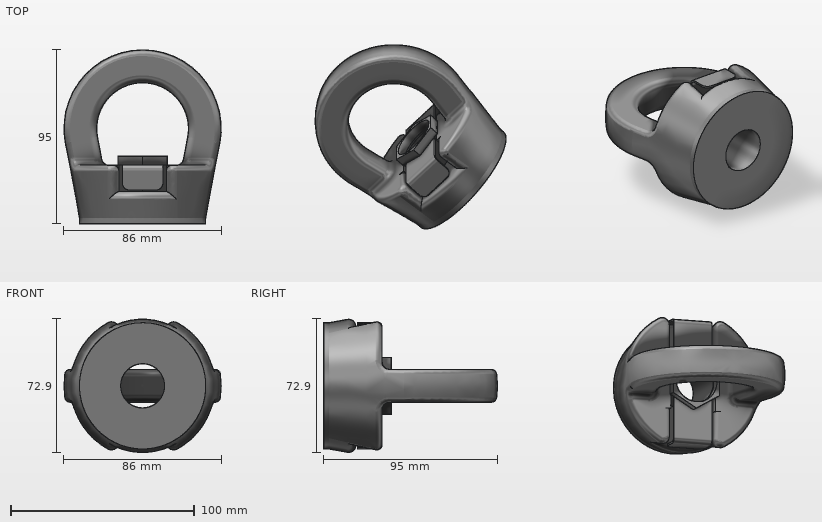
import cadquery as cq
import math


BASE_RADIUS = 69 / 2
RIM_HEIGHT = 3
BASE_HEIGHT = 32
BORE_RADIUS = 24 / 2
RING_CENTRE_Y = 52
RING_OUTER_RADIUS = 43
RING_INNER_RADIUS = 25
RING_THICKNESS = 18
OUTER_EDGE_RADIUS = 3
INNER_EDGE_RADIUS = 4
ROOT_RADIUS = 4

HEX_ACROSS_FLATS = 27
HEX_HEIGHT = 5
HEX_CORNER_RADIUS = HEX_ACROSS_FLATS / math.sqrt(3)

POCKET_WIDTH = 26
POCKET_FLOOR_Y = 17.6
POCKET_RIM_RADIUS = 4

CLIP_THICKNESS = 1
CLIP_WIDTH = 22.2
CLIP_SPAN = 69
CLIP_TIP_Y = 18.4
CLIP_BEND_RADIUS = 3
CLIP_CORNER_RADIUS = 4
CLIP_EYE_RADIUS = 13

STOCK = 200
TOLERANCE = 0.05
SEAM_ANGLE = 45

rise_to_centre = RING_CENTRE_Y - RIM_HEIGHT
TAPER = (
    math.atan2(rise_to_centre, BASE_RADIUS)
    + math.asin(RING_OUTER_RADIUS / math.hypot(BASE_RADIUS, rise_to_centre))
    - math.pi / 2
)


def tangent_point(radius):
    """Point (x, y) where a line with the cone's taper touches a circle about the ring centre."""
    return radius * math.cos(TAPER), RING_CENTRE_Y - radius * math.sin(TAPER)


def disc_along_y(radius, bottom, top):
    return cq.Workplane("XZ", origin=(0, bottom, 0)).circle(radius).extrude(bottom - top)


def hexagon_along_y(bottom, top):
    corners = [
        (HEX_CORNER_RADIUS * math.sin(i * math.pi / 3), HEX_CORNER_RADIUS * math.cos(i * math.pi / 3))
        for i in range(6)
    ]
    return cq.Workplane("XZ", origin=(0, bottom, 0)).polyline(corners).close().extrude(bottom - top)


def turned_envelope():
    """Rim, cone and sphere turned about Y, with the seam kept clear of the ring and the pockets."""
    touch_x, touch_y = tangent_point(RING_OUTER_RADIUS)
    mid_angle = math.pi / 4
    mid_point = (
        RING_OUTER_RADIUS * math.cos(mid_angle),
        RING_CENTRE_Y + RING_OUTER_RADIUS * math.sin(mid_angle),
    )
    return (
        cq.Workplane("XY")
        .lineTo(BASE_RADIUS, 0)
        .lineTo(BASE_RADIUS, RIM_HEIGHT)
        .lineTo(touch_x, touch_y)
        .threePointArc(mid_point, (0, RING_CENTRE_Y + RING_OUTER_RADIUS))
        .close()
        .revolve(360, (0, 0, 0), (0, 1, 0))
        .rotate((0, 0, 0), (0, 1, 0), SEAM_ANGLE)
    )


def ring_window():
    """Ring opening: a circle continued downwards by two converging tangent sides."""
    touch_x, touch_y = tangent_point(RING_INNER_RADIUS)
    bottom_y = BASE_HEIGHT / 2
    bottom_x = touch_x - (touch_y - bottom_y) * math.tan(TAPER)
    return (
        cq.Workplane("XY")
        .moveTo(-bottom_x, bottom_y)
        .lineTo(bottom_x, bottom_y)
        .lineTo(touch_x, touch_y)
        .threePointArc((0, RING_CENTRE_Y + RING_INNER_RADIUS), (-touch_x, touch_y))
        .close()
        .extrude(RING_THICKNESS, both=True)
    )


def edges_in_box(body, low, high):
    """Edges whose centres lie between two opposite corners of a box."""
    return body.edges(cq.selectors.BoxSelector(low, high))


def ring_plate():
    """Flat plate with the ring opening, the edges of the opening rounded on both faces."""
    plate = cq.Workplane("XY").box(STOCK, STOCK, RING_THICKNESS).cut(ring_window())
    reach = RING_OUTER_RADIUS
    opening = edges_in_box(
        plate.faces("<Z or >Z"), (-reach, 0, -STOCK), (reach, RING_CENTRE_Y + reach, STOCK)
    )
    return opening.fillet(INNER_EDGE_RADIUS)


def eye_blank():
    """Base and ring joined, with a fillet where the ring grows out of the base."""
    envelope = turned_envelope()
    base = envelope.intersect(cq.Workplane("XY").box(STOCK, 2 * BASE_HEIGHT, STOCK))
    blank = base.union(envelope.intersect(ring_plate()))
    half = RING_THICKNESS / 2 + TOLERANCE
    low = (-STOCK, BASE_HEIGHT - TOLERANCE, -half)
    high = (STOCK, BASE_HEIGHT + TOLERANCE, half)
    return edges_in_box(blank, low, high).edges("not %CIRCLE").fillet(ROOT_RADIUS)


def side_spaces(width, floor_y, start_z):
    """Straight-walled space on either side, from a floor to the base top, outwards from start_z."""
    height = BASE_HEIGHT - floor_y
    bar = cq.Workplane("XY").box(width, height, STOCK).translate((0, floor_y + height / 2, 0))
    return bar.cut(cq.Workplane("XY").box(STOCK, 2 * STOCK, 2 * start_z))


def round_rims(body, half_width, low_y, high_y):
    """Round the edges on the cone, well outside the hexagon, between two heights."""
    region = cq.selectors.BoxSelector((-half_width, low_y, -STOCK), (half_width, high_y, STOCK))
    inside = cq.selectors.BoxSelector(
        (-STOCK, -STOCK, -HEX_ACROSS_FLATS), (STOCK, STOCK, HEX_ACROSS_FLATS)
    )
    return body.edges(region - inside).fillet(POCKET_RIM_RADIUS)


def cut_pockets(body):
    """Cut a pocket on either side as deep as the hexagon's corners, with rounded rims.

    A pocket is the space shared by a slot (its walls) and a step (its floor), so the
    material left is the slotted body joined with the stepped body. The rounded rims of
    the two meet in a mitre.
    """
    slot = side_spaces(POCKET_WIDTH, RIM_HEIGHT, HEX_CORNER_RADIUS)
    slotted = round_rims(
        body.cut(slot), POCKET_WIDTH / 2 + TOLERANCE, RIM_HEIGHT + TOLERANCE, BASE_HEIGHT - TOLERANCE
    )
    step = side_spaces(STOCK, POCKET_FLOOR_Y, HEX_CORNER_RADIUS)
    stepped = round_rims(body.cut(step), STOCK, POCKET_FLOOR_Y - TOLERANCE, POCKET_FLOOR_Y + TOLERANCE)
    return slotted.union(stepped).clean()


def round_outer_edges(body):
    """Round the edges of the base top and, along the same tangent chains, the outer ring edges."""
    low = (-STOCK, BASE_HEIGHT - TOLERANCE, -STOCK)
    high = (STOCK, BASE_HEIGHT + TOLERANCE, STOCK)
    beside_ring = cq.selectors.BoxSelector(
        (-STOCK, 0, -RING_THICKNESS), (STOCK, STOCK, RING_THICKNESS)
    )
    top_edges = body.edges(cq.selectors.BoxSelector(low, high) - beside_ring)
    return top_edges.edges("%CIRCLE or %BSPLINE").fillet(OUTER_EDGE_RADIUS)


def make_eye(clip):
    """Forged eye: base, ring and pockets, with a hexagonal core, recessed for the clip and bored."""
    body = round_outer_edges(cut_pockets(eye_blank()))
    pockets = side_spaces(POCKET_WIDTH, POCKET_FLOOR_Y, HEX_CORNER_RADIUS / 2)
    around_core = pockets.cut(hexagon_along_y(0, BASE_HEIGHT))
    bore = disc_along_y(BORE_RADIUS, 0, BASE_HEIGHT)
    return body.cut(around_core).cut(bore).cut(clip)


def make_hexagon():
    """Bored hexagon standing on the top of the base."""
    top = BASE_HEIGHT + HEX_HEIGHT
    return hexagon_along_y(BASE_HEIGHT, top).cut(disc_along_y(BORE_RADIUS, BASE_HEIGHT, top))


def make_clip():
    """U-shaped sheet clip: two rounded tabs joined by a web with an eye around the bore."""
    tab_length = BASE_HEIGHT - CLIP_TIP_Y
    web_bottom = BASE_HEIGHT - CLIP_THICKNESS
    outside = (
        cq.Workplane("XY")
        .box(CLIP_WIDTH, tab_length, CLIP_SPAN)
        .translate((0, BASE_HEIGHT - tab_length / 2, 0))
        .edges(">Y and |X")
        .fillet(CLIP_BEND_RADIUS)
    )
    inside = (
        cq.Workplane("XY")
        .box(CLIP_WIDTH, tab_length, CLIP_SPAN - 2 * CLIP_THICKNESS)
        .translate((0, web_bottom - tab_length / 2, 0))
        .edges(">Y and |X")
        .fillet(CLIP_BEND_RADIUS - CLIP_THICKNESS)
    )
    strip = outside.cut(inside).edges("<Y and |Z").fillet(CLIP_CORNER_RADIUS)
    eye = disc_along_y(CLIP_EYE_RADIUS, web_bottom, BASE_HEIGHT)
    return strip.union(eye).cut(disc_along_y(BORE_RADIUS, web_bottom, BASE_HEIGHT))


clip = make_clip()
eye = make_eye(clip)
hexagon = make_hexagon()

result = cq.Compound.makeCompound([eye.val(), hexagon.val(), clip.val()])